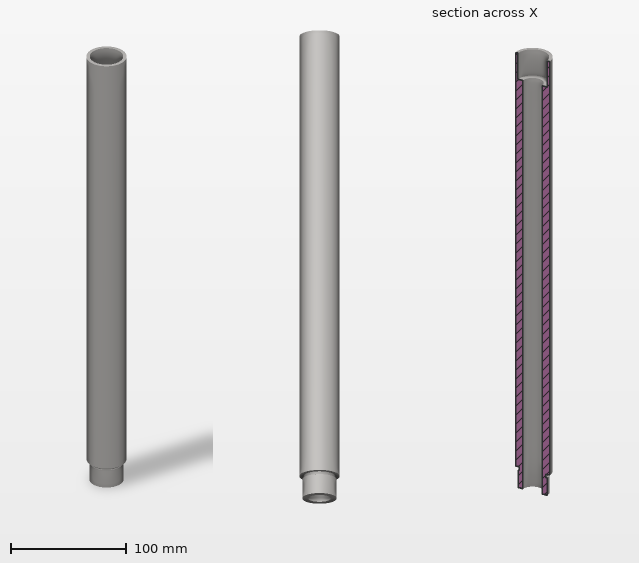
import cadquery as cq

total_length = 420.0
body_diameter = 35.0
bore_diameter = 19.5

spigot_diameter = 30.0
spigot_length = 20.0
groove_diameter = 27.7
groove_width = 3.0

socket_diameter = 29.0
socket_clearance = 5.0
socket_depth = spigot_length + socket_clearance


def cylinder(diameter, bottom, top):
    """Upright cylinder on the tube axis between two heights."""
    return cq.Workplane("XY").workplane(offset=bottom).circle(diameter / 2).extrude(top - bottom)


groove_bottom = spigot_length - groove_width

body = cylinder(body_diameter, spigot_length, total_length)
groove_neck = cylinder(groove_diameter, groove_bottom, spigot_length)
spigot = cylinder(spigot_diameter, 0, groove_bottom)

bore = cylinder(bore_diameter, 0, total_length)
socket = cylinder(socket_diameter, total_length - socket_depth, total_length)

result = body.union(groove_neck).union(spigot).cut(bore).cut(socket)